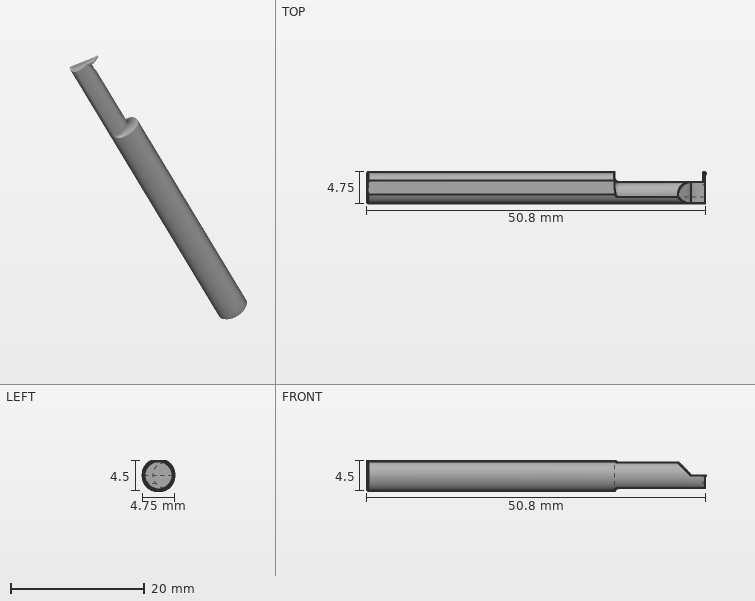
import cadquery as cq

shank_diameter = 4.75
shank_radius = shank_diameter / 2
overall_length = 50.8
flat_height = 2.125
rear_chamfer = 0.24

shank_length = 37.08
neck_radius = 1.93
neck_back_y = 0.85
neck_axis_y = neck_back_y - neck_radius
neck_fillet = 0.57

barb_reach = 0.15
head_end_x = overall_length - barb_reach
rake_plane_z = 0.0
head_flat_length = 2.12
slope_bottom_x = head_end_x - head_flat_length
slope_rise = shank_radius

blade_thickness = 0.28
blade_start_x = head_end_x - blade_thickness
blade_root_y = neck_axis_y
blade_depth = 1.2
blade_back_relief = 0.85
shoulder_drop = 0.13
apex_offset = 0.15
apex_x = blade_start_x + apex_offset
barb_drop = overall_length - apex_x
barb_height = 0.12


def make_shank():
    """Full-length bar with a chamfered rear end and a clamping flat."""
    bar = cq.Workplane("YZ").circle(shank_radius).extrude(head_end_x)
    bar = bar.faces("<X").chamfer(rear_chamfer)
    flat_cut = cq.Workplane("XY").box(
        shank_length + neck_fillet, shank_diameter, shank_diameter, centered=(False, True, False)
    )
    return bar.cut(flat_cut.translate((0, 0, flat_height)))


def neck_envelope():
    """Space the part may fill: all of the shank, then a filleted step down to the neck."""
    fillet_end_x = shank_length + neck_fillet
    fillet_outer_radius = neck_radius + neck_fillet
    outer_radius = 2 * shank_diameter
    profile = (
        cq.Workplane("XY")
        .moveTo(0, 0)
        .lineTo(head_end_x, 0)
        .lineTo(head_end_x, neck_radius)
        .lineTo(fillet_end_x, neck_radius)
        .radiusArc((shank_length, fillet_outer_radius), neck_fillet)
        .lineTo(shank_length, outer_radius)
        .lineTo(0, outer_radius)
        .close()
    )
    return profile.revolve(360, (0, 0, 0), (1, 0, 0)).translate((0, neck_axis_y, 0))


def head_cut():
    """Removes the upper half of the head and leaves a 45 degree run-out."""
    profile = (
        cq.Workplane("XZ")
        .moveTo(slope_bottom_x, rake_plane_z)
        .lineTo(overall_length, rake_plane_z)
        .lineTo(overall_length, rake_plane_z + slope_rise)
        .lineTo(slope_bottom_x - slope_rise, rake_plane_z + slope_rise)
        .close()
    )
    return profile.extrude(shank_diameter, both=True)


def make_blade():
    """Thin blade with a pointed tip, relieved below its cutting edges."""
    outline = [
        (blade_start_x, blade_root_y),
        (blade_start_x, shank_radius - shoulder_drop),
        (apex_x, shank_radius),
        (overall_length, shank_radius - barb_drop),
        (head_end_x, shank_radius - barb_drop - barb_reach),
        (head_end_x, blade_root_y),
    ]
    rake_plane = cq.Workplane("XY", origin=(0, 0, rake_plane_z))
    blank = rake_plane.polyline(outline).close().extrude(-blade_depth)
    relief = (
        cq.Workplane("YZ")
        .moveTo(shank_radius, rake_plane_z)
        .lineTo(shank_radius, rake_plane_z - blade_depth)
        .lineTo(shank_radius - blade_back_relief, rake_plane_z - blade_depth)
        .close()
        .extrude(overall_length)
    )
    barb_relief = (
        cq.Workplane("XZ")
        .moveTo(overall_length, rake_plane_z)
        .lineTo(head_end_x, rake_plane_z - barb_height)
        .lineTo(head_end_x, rake_plane_z - blade_depth)
        .lineTo(overall_length, rake_plane_z - blade_depth)
        .close()
        .extrude(shank_diameter, both=True)
    )
    return blank.cut(relief).cut(barb_relief)


body = make_shank().intersect(neck_envelope()).cut(head_cut())
result = body.union(make_blade())